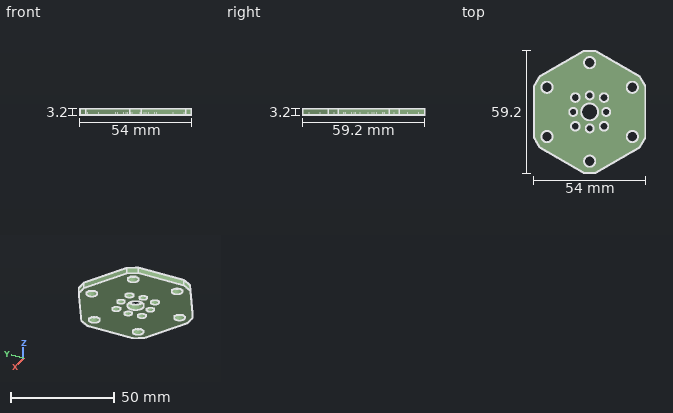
import cadquery as cq
import math

across_flats = 54.0
across_cut_corners = 59.15
thickness = 3.2
across_corners = across_flats / math.cos(math.radians(30))

center_hole_diameter = 8.05
outer_hole_diameter = 5.3
outer_hole_radius = 23.85
axis_hole_diameter = 3.8
axis_hole_radius = 8.0
diagonal_hole_diameter = 4.1
diagonal_hole_radius = 9.8


def hexagon_prism(corner_to_corner, first_corner_angle):
    """Hexagonal plate standing on the XY plane."""
    outline = cq.Workplane("XY").polygon(6, corner_to_corner)
    prism = outline.extrude(thickness)
    return prism.rotate((0, 0, 0), (0, 0, 1), first_corner_angle)


def hole_ring(plate, diameter, radius, first_angle, count):
    """Drill evenly spaced through holes on a circle about the center."""
    top = plate.faces(">Z").workplane(origin=(0, 0, 0))
    return top.polarArray(radius, first_angle, 360, count).hole(diameter)


pointed_plate = hexagon_prism(across_corners, 30)
corner_trim = hexagon_prism(across_cut_corners / math.cos(math.radians(30)), 0)
plate = pointed_plate.intersect(corner_trim)

plate = plate.faces(">Z").workplane(origin=(0, 0, 0)).hole(center_hole_diameter)

plate = hole_ring(plate, outer_hole_diameter, outer_hole_radius, 30, 6)
plate = hole_ring(plate, axis_hole_diameter, axis_hole_radius, 0, 4)
plate = hole_ring(plate, diagonal_hole_diameter, diagonal_hole_radius, 45, 4)

result = plate